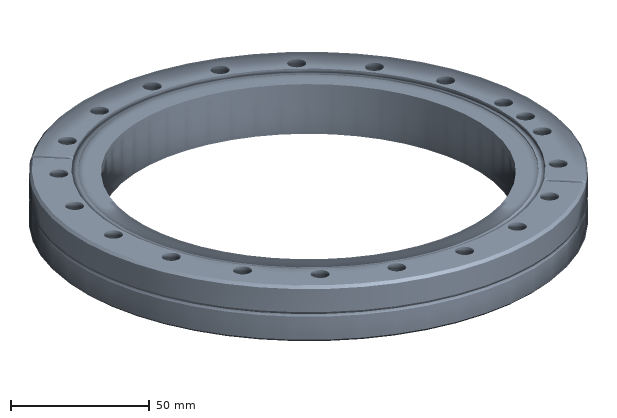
import cadquery as cq
import math

outer_radius = 101.2
thickness = 22.3
bore_radius = 75.0
rim_chamfer = 1.0

rim_groove_width = 1.8
rim_groove_depth = 0.5

recess_radius = 85.8
knife_radius = 83.4
knife_tip_depth = 0.6
recess_wall_depth = 1.5
recess_floor_depth = 1.2

bolt_circle_radius = 90.5
bolt_hole_diameter = 6.9
bolt_count = 20
extra_hole_angle = 45.0

leak_groove_angle = 9.0
leak_groove_width = 2.5
leak_groove_depth = 0.8
leak_groove_overrun = 2.0


def ring_half():
    """Revolve the upper half of the ring, with its recess and half the rim groove."""
    middle = thickness / 2
    section = [
        (bore_radius, middle),
        (outer_radius - rim_groove_depth, middle),
        (outer_radius, middle + rim_groove_width / 2),
        (outer_radius, thickness - rim_chamfer),
        (outer_radius - rim_chamfer, thickness),
        (recess_radius, thickness),
        (recess_radius, thickness - recess_wall_depth),
        (knife_radius, thickness - knife_tip_depth),
        (knife_radius, thickness - recess_floor_depth),
        (bore_radius, thickness - recess_floor_depth),
    ]
    return cq.Workplane("XZ").polyline(section).close().revolve(360, (0, 0, 0), (0, 1, 0))


def bolt_holes():
    """Through-hole cutters around the bolt circle."""
    pitch = 360 / bolt_count
    angles = [index * pitch for index in range(bolt_count)] + [extra_hole_angle]
    centers = [
        (
            bolt_circle_radius * math.cos(math.radians(angle)),
            bolt_circle_radius * math.sin(math.radians(angle)),
        )
        for angle in angles
    ]
    return cq.Workplane("XY").pushPoints(centers).circle(bolt_hole_diameter / 2).extrude(thickness)


def leak_groove(angle):
    """Round-bottomed cutter running from the recess out past the rim."""
    half_width = leak_groove_width / 2
    groove_radius = (half_width**2 + leak_groove_depth**2) / (2 * leak_groove_depth)
    axis_height = thickness - leak_groove_depth + groove_radius
    start = (knife_radius + recess_radius) / 2
    cutter = (
        cq.Workplane("YZ", origin=(start, 0, axis_height))
        .circle(groove_radius)
        .extrude(outer_radius - start + leak_groove_overrun)
    )
    return cutter.rotate((0, 0, 0), (0, 0, 1), angle)


half = ring_half()
result = half.union(half.mirror("XY", (0, 0, thickness / 2))).cut(bolt_holes())
for angle in (leak_groove_angle, leak_groove_angle + 180):
    result = result.cut(leak_groove(angle))